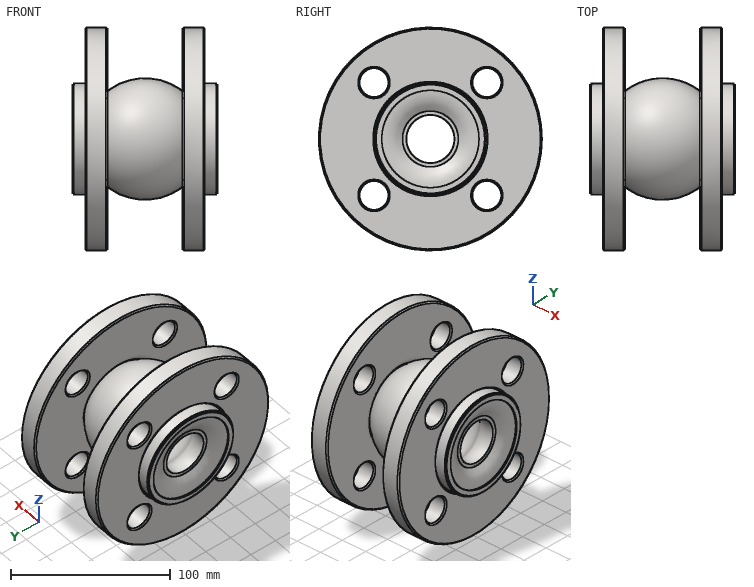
import cadquery as cq
import math

length = 91.0
half_length = length / 2

flange_diameter = 140.0
flange_thickness = 14.0
flange_inner_x = 23.5
flange_outer_x = flange_inner_x + flange_thickness
flange_radius = flange_diameter / 2
edge_chamfer = 1.0
bolt_circle_diameter = 100.0
bolt_hole_diameter = 18.0
bolt_count = 4
bolt_start_angle = 45.0
neck_radius = 55.0 / 2
bore_round = 6.0
seat_depth = 4.0
seat_x = flange_outer_x - seat_depth

ball_radius = 38.25
collar_radius = 70.0 / 2
rim_radius = 68.0 / 2
rim_height = 1.0
collar_face_x = half_length - rim_height
cavity_radius = 31.0
bore_radius = 30.0 / 2
lip_radius = 35.0 / 2
flare_depth = 5.0
lip_x = collar_face_x - flare_depth
bore_end_x = 34.5
mouth_radius = 61.0 / 2


def revolve_about_x(outline):
    """Turn a half outline, drawn with Y as the radius, round the X axis."""
    return outline.close().revolve(360, (0, 0, 0), (1, 0, 0))


def make_bolt_hole():
    """Cutter for a bolt hole on the X axis, chamfered at both flange faces."""
    hole_radius = bolt_hole_diameter / 2
    return revolve_about_x(
        cq.Workplane("XY")
        .moveTo(flange_inner_x, 0)
        .lineTo(flange_inner_x, hole_radius + edge_chamfer)
        .lineTo(flange_inner_x + edge_chamfer, hole_radius)
        .lineTo(flange_outer_x - edge_chamfer, hole_radius)
        .lineTo(flange_outer_x, hole_radius + edge_chamfer)
        .lineTo(flange_outer_x, 0)
    )


def make_flange():
    """Flange on the +X side, with a seat for the collar and a rounded inner bore edge."""
    round_mid = bore_round * (1 - math.sqrt(0.5))
    round_mouth = neck_radius + bore_round
    body = revolve_about_x(
        cq.Workplane("XY")
        .moveTo(flange_inner_x, round_mouth)
        .lineTo(flange_inner_x, flange_radius - edge_chamfer)
        .lineTo(flange_inner_x + edge_chamfer, flange_radius)
        .lineTo(flange_outer_x - edge_chamfer, flange_radius)
        .lineTo(flange_outer_x, flange_radius - edge_chamfer)
        .lineTo(flange_outer_x, collar_radius + edge_chamfer)
        .lineTo(flange_outer_x - edge_chamfer, collar_radius)
        .lineTo(seat_x, collar_radius)
        .lineTo(seat_x, neck_radius)
        .lineTo(flange_inner_x + bore_round, neck_radius)
        .threePointArc(
            (flange_inner_x + round_mid, neck_radius + round_mid),
            (flange_inner_x, round_mouth),
        )
    )
    hole = make_bolt_hole().translate((0, bolt_circle_diameter / 2, 0))
    for index in range(bolt_count):
        angle = bolt_start_angle + index * 360 / bolt_count
        body = body.cut(hole.rotate((0, 0, 0), (1, 0, 0), angle))
    return body


def make_disc(radius, reach):
    """Cylinder on the X axis, reaching the same distance to both sides of X = 0."""
    return cq.Workplane("YZ").circle(radius).extrude(reach, both=True)


def make_half_void():
    """The +X half of the hollow: cavity, throat, bore, flared mouth and the recess inside the rim."""
    throat_round = (bore_end_x**2 + bore_radius**2 - cavity_radius**2) / (2 * (cavity_radius - bore_radius))
    throat_center_radius = bore_radius + throat_round
    throat_angle = math.atan2(throat_center_radius, bore_end_x)
    throat_mid_angle = (throat_angle + math.pi / 2) / 2
    throat_mid = (
        bore_end_x - throat_round * math.cos(throat_mid_angle),
        throat_center_radius - throat_round * math.sin(throat_mid_angle),
    )

    flare_width = mouth_radius - lip_radius
    flare_round = (flare_depth**2 + flare_width**2) / (2 * flare_depth)
    flare_half_angle = math.asin(flare_width / flare_round) / 2
    flare_mid = (
        collar_face_x - flare_round * (1 - math.cos(flare_half_angle)),
        mouth_radius - flare_round * math.sin(flare_half_angle),
    )

    def on_cavity(angle):
        return (cavity_radius * math.cos(angle), cavity_radius * math.sin(angle))

    return revolve_about_x(
        cq.Workplane("XY")
        .moveTo(0, 0)
        .lineTo(0, cavity_radius)
        .threePointArc(on_cavity(throat_mid_angle), on_cavity(throat_angle))
        .threePointArc(throat_mid, (bore_end_x, bore_radius))
        .lineTo(lip_x, bore_radius)
        .lineTo(lip_x, lip_radius)
        .threePointArc(flare_mid, (collar_face_x, mouth_radius))
        .lineTo(half_length, mouth_radius)
        .lineTo(half_length, 0)
    )


def make_bellows():
    """Hollow ball with a neck, a collar, a raised rim and a flared mouth at each end."""
    collars = make_disc(collar_radius, collar_face_x).cut(make_disc(collar_radius, seat_x))
    rims = make_disc(rim_radius, half_length).cut(make_disc(rim_radius, collar_face_x))
    necks = make_disc(neck_radius, seat_x)
    ball = cq.Workplane("YZ").sphere(ball_radius)
    body = ball.union(necks).union(collars).union(rims)

    void = make_half_void()
    return body.cut(void).cut(void.mirror("YZ"))


right_flange = make_flange()
left_flange = right_flange.mirror("YZ")
bellows = make_bellows()
result = cq.Compound.makeCompound([bellows.val(), left_flange.val(), right_flange.val()])